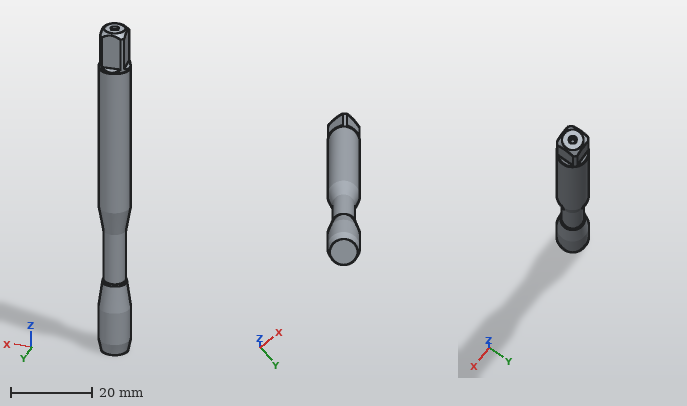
import cadquery as cq
import math

total_length = 90.0

head_diameter = 8.1
tip_diameter = 6.8
lead_length = 3.15
head_straight_top = 12.0
head_top = 19.1
head_top_diameter = 6.1

neck_diameter = 5.7
neck_bottom_taper_top = 19.6
neck_top = 33.4
shank_diameter = 8.0
shank_bottom = 40.1

drive_width = 6.2
drive_corner_diameter = 7.8
drive_collar_z = 79.3
drive_flat_bottom = 80.4
end_face_diameter = 5.3
centre_hole_diameter = 1.5
centre_sink_diameter = 2.0
centre_hole_length = 1.6
centre_sink_depth = 0.6
drill_point_angle = 120.0


def turned(profile):
    """Revolve (radius, z) points about the Z axis."""
    points = [(0, profile[0][1]), *profile, (0, profile[-1][1])]
    return cq.Workplane("XZ").polyline(points).close().revolve(360, (0, 0), (0, 1))


def make_head():
    """Cutting head: lead taper, straight length and taper towards the neck."""
    return turned([
        (tip_diameter / 2, 0),
        (head_diameter / 2, lead_length),
        (head_diameter / 2, head_straight_top),
        (head_top_diameter / 2, head_top),
    ])


def make_shank_blank():
    """Neck and shank, with a 45 degree chamfer at the drive end."""
    end_chamfer = (drive_corner_diameter - end_face_diameter) / 2
    collar_step = (shank_diameter - drive_corner_diameter) / 2
    return turned([
        (head_top_diameter / 2, head_top),
        (neck_diameter / 2, neck_bottom_taper_top),
        (neck_diameter / 2, neck_top),
        (shank_diameter / 2, shank_bottom),
        (shank_diameter / 2, drive_collar_z),
        (drive_corner_diameter / 2, drive_collar_z + collar_step),
        (drive_corner_diameter / 2, total_length - end_chamfer),
        (end_face_diameter / 2, total_length),
    ])


def make_flat_cutter():
    """Prism that leaves one drive flat with a 45 degree runout below it."""
    flat = drive_width / 2
    depth = shank_diameter - flat
    return (
        cq.Workplane("XZ")
        .polyline([
            (flat, drive_flat_bottom),
            (flat + depth, drive_flat_bottom - depth),
            (flat + depth, total_length),
            (flat, total_length),
        ])
        .close()
        .extrude(shank_diameter, both=True)
    )


def make_centre_hole():
    """Countersunk centre hole with a conical bottom, in the drive end."""
    radius = centre_hole_diameter / 2
    sink_radius = centre_sink_diameter / 2
    sink_bottom = total_length - centre_sink_depth
    hole_bottom = sink_bottom - centre_hole_length
    hole_tip = hole_bottom - radius / math.tan(math.radians(drill_point_angle / 2))
    return (
        cq.Workplane("XZ")
        .polyline([
            (0, hole_tip),
            (radius, hole_bottom),
            (radius, sink_bottom),
            (sink_radius, total_length),
            (0, total_length),
        ])
        .close()
        .revolve(360, (0, 0), (0, 1))
    )


def make_shank():
    shank = make_shank_blank()
    cutter = make_flat_cutter()
    for side in range(4):
        shank = shank.cut(cutter.rotate((0, 0, 0), (0, 0, 1), 90 * side))
    return shank.cut(make_centre_hole())


head = make_head()
shank = make_shank()

result = cq.Compound.makeCompound([head.val(), shank.val()])